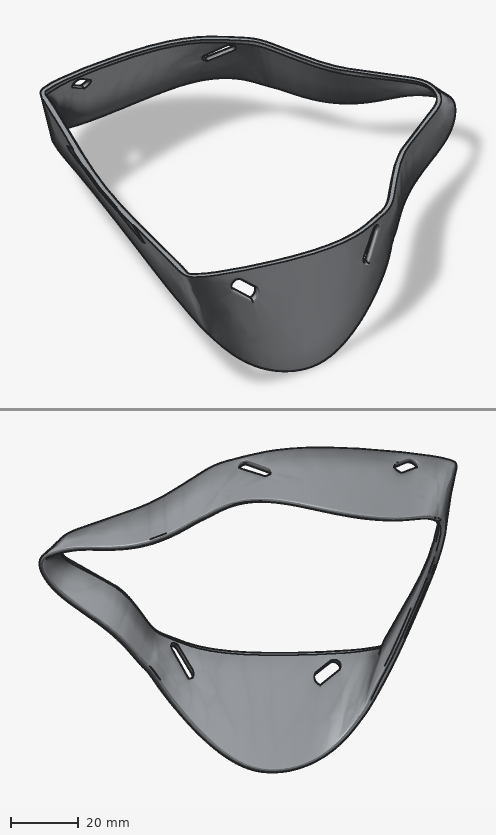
import cadquery as cq
import math


TOP_TILT = 9.85
CHIN_Y = -60.21
CHIN_TOP_Z = 21.27
TOP_SLOPE = math.tan(math.radians(TOP_TILT))

PAD_HALF_WIDTH = 24.4
PAD_DEPTH = 4.7
PAD_TOP_HALF_WIDTH = 17.5
APRON_RISE = 0.15
BROW_RISE = 0.3
BROW_HALF_WIDTH = 10.5
BROW_DEPTH = 1.2
PAD_REACH = 3.0

TOP_NOSE = [(0, 55.15), (3.6, 54.3), (8.1, 49.9), (13.9, 41.1), (20.0, 32.4), (27.1, 25.9)]
TOP_TEMPLE = [(35.5, 19.6), (38.5, 16.9)]
TOP_CHEEK = [(42.2, 10.7), (45.8, 2.0), (47.9, -8.9), (48.25, -19.8), (47.6, -32.0), (45.9, -45.8)]
TOP_JAW = [(44.1, -53.1), (43.0, -55.0), (40.2, -56.2)]
TOP_CHIN = [(34.0, -56.85), (27.0, -57.65), (13.0, -59.25), (0, CHIN_Y + BROW_RISE)]

LOW_NOSE = [
    (0, 60.88, -6.4),
    (5.3, 58.6, -7.0),
    (11.2, 52.1, -8.4),
    (15.6, 43.3, -10.2),
    (20.6, 34.6, -11.2),
    (28.6, 25.9, -10.9),
]
LOW_TEMPLE = [(35.0, 20.3, -10.1), (35.7, 19.6, -10.0)]
LOW_CHEEK = [
    (41.3, 15.0, -9.9),
    (49.6, 6.3, -12.3),
    (56.9, -6.7, -18.0),
    (60.0, -20.0, -21.27),
    (58.0, -35.0, -18.0),
    (53.6, -43.7, -12.2),
]
LOW_JAW = [(46.2, -49.3, -5.9), (45.3, -49.8, -5.2), (44.4, -50.3, -4.5)]
LOW_CHIN = [(40.3, -52.2, -1.3), (34.6, -54.2, 2.4), (17.5, -57.8, 10.4), (0, -59.3, 13.95)]

WALL = 1.8
CHIN_WALL = 2.25
LIP_SETBACK = 0.45
LIP_DEPTH = 1.15
LOW_RIM_ROUNDING = 0.7

NOSE_FLAT_TOP_Y = 54.95
NOSE_FLAT_END = (58.7, -3.5)

SLOT_ROUNDING = 0.6
REAR_SLOT = dict(corner=(3.8, -1.9), angle=43.5, length=10.9, width=4.4, side=1)
FRONT_SLOT = dict(corner=(-37.2, 6.0), angle=135.0, length=9.9, width=5.0, side=-1)
SLOT_END_SETBACK = 1.6
SLOT_END_BULGE = 0.6
SLOT_INSIDE_X = 35.0
SLOT_REACH = 30.0

MARGIN = 5.0
TOLERANCE = 1e-3


def top_z(y):
    return CHIN_TOP_Z - (y - CHIN_Y) * TOP_SLOPE


def chord_parameters(points):
    """Distance run along the outline's chords at each point."""
    lengths = [0.0]
    for start, end in zip(points, points[1:]):
        lengths.append(lengths[-1] + math.dist(start, end))
    return lengths


def smooth_edge(points):
    """A spline that crosses the symmetry plane squarely at both ends."""
    return cq.Edge.makeSpline(
        [cq.Vector(*point) for point in points],
        tangents=[cq.Vector(1, 0, 0), cq.Vector(-1, 0, 0)],
        parameters=chord_parameters(points),
        scale=False,
    )


def inset(points, walls):
    """Move the outline points horizontally inwards by the wall at each of them."""
    edge = smooth_edge(points)
    moved = []
    for (x, y, z), wall, parameter in zip(points, walls, chord_parameters(points)):
        along = edge.tangentAt(parameter, mode="parameter")
        run = math.hypot(along.x, along.y)
        moved.append((x + wall * along.y / run, y - wall * along.x / run, z))
    return moved


def inset_top(points, walls):
    return [(x, y, top_z(y)) for x, y, _ in inset(points, walls)]


def step_towards(start, end, distance):
    share = distance / math.dist(start, end)
    return tuple(a + (b - a) * share for a, b in zip(start, end))


def stretches(points, joints):
    """The outline's spline cut at the joints between the stretches."""
    edge = smooth_edge(points)
    parameters = chord_parameters(points)
    return [edge.trim(parameters[a], parameters[b]) for a, b in zip(joints, joints[1:])]


def half_band():
    """The +X half of the band, ruled between the outlines that run round its section."""
    top = TOP_NOSE + TOP_TEMPLE + TOP_CHEEK + TOP_JAW + TOP_CHIN
    top_outer = [(x, y, top_z(y)) for x, y in top]
    low_outer = LOW_NOSE + LOW_TEMPLE + LOW_CHEEK + LOW_JAW + LOW_CHIN
    temple = len(TOP_NOSE)
    jaw = temple + len(TOP_TEMPLE) + len(TOP_CHEEK)
    jaw_end = jaw + len(TOP_JAW) - 1
    last = len(top) - 1
    joints = [0, temple, temple + 1, jaw, jaw_end, last]

    low_walls = [WALL] * (jaw_end + 1) + [CHIN_WALL] * (last - jaw_end)
    top_walls = [WALL] * jaw_end + [CHIN_WALL] * (last - jaw_end + 1)
    low_inner = inset(low_outer, low_walls)
    wall_tops = inset_top(top_outer, top_walls)
    lip = [step_towards(a, b, LIP_DEPTH) for a, b in zip(wall_tops, low_inner)]
    top_inner = inset_top(top_outer, [wall - LIP_SETBACK for wall in top_walls])

    outlines = [top_outer, low_outer, low_inner, lip, top_inner]
    rails = [stretches(points, joints) for points in outlines]
    faces = []
    for rail, next_rail in zip(rails, rails[1:] + rails[:1]):
        faces += [cq.Face.makeRuledSurface(a, b) for a, b in zip(rail, next_rail)]
    for end in (0, last):
        corners = [cq.Vector(*points[end]) for points in outlines]
        faces.append(cq.Face.makeFromWires(cq.Wire.makePolygon(corners, close=True)))
    return cq.Workplane(cq.Solid.makeSolid(cq.Shell.makeShell(faces)))


def full_band():
    half = half_band()
    return half.union(half.mirror("YZ"), clean=False)


def is_low_rim(edge):
    """True for the edges that run along the lower rim, on the outside or the inside of the wall."""
    ends = (edge.startPoint(), edge.endPoint())
    on_symmetry_plane = all(abs(point.x) < TOLERANCE for point in ends)
    touches_top = any(point.z > top_z(point.y) - MARGIN for point in ends)
    crosses_wall = abs(ends[0].z - ends[1].z) < TOLERANCE
    return not (on_symmetry_plane or touches_top or crosses_wall)


def round_low_rim(band):
    edges = [edge for edge in band.val().Edges() if is_low_rim(edge)]
    return cq.Workplane(band.val().fillet(LOW_RIM_ROUNDING, edges))


def nose_flat_cutter():
    top_y, top = NOSE_FLAT_TOP_Y, top_z(NOSE_FLAT_TOP_Y)
    end_y, end = NOSE_FLAT_END
    run, fall = end_y - top_y, top - end
    return (
        cq.Workplane("YZ")
        .moveTo(top_y - run, top + fall)
        .lineTo(end_y + run, end - fall)
        .lineTo(end_y + run, top + fall)
        .close()
        .extrude(MARGIN, both=True)
    )


def tipped_chin(band, rise, right_side):
    """What a forward-tipped copy of the chin adds to the wall, within a symmetric outline."""
    pivot_z = CHIN_TOP_Z - PAD_DEPTH
    lift = math.degrees(math.atan(rise / PAD_DEPTH))
    tipped = band.rotate((0, CHIN_Y, pivot_z), (1, CHIN_Y, pivot_z), lift)
    window_plane = cq.Plane(
        origin=(0, CHIN_Y, CHIN_TOP_Z),
        xDir=(1, 0, 0),
        normal=(0, -1, TOP_SLOPE),
    )
    left_side = [(-x, z) for x, z in reversed(right_side)]
    window = cq.Workplane(window_plane).polyline(right_side + left_side).close().extrude(PAD_REACH, both=True)
    return tipped.intersect(window).cut(band)


def add_chin_pad(band, sharp_band):
    tip = (PAD_HALF_WIDTH, -PAD_DEPTH)
    top_corner = (PAD_TOP_HALF_WIDTH, 0)
    brow_corner = (BROW_HALF_WIDTH, -BROW_DEPTH)
    apron = tipped_chin(sharp_band, APRON_RISE, [tip, top_corner])
    brow = tipped_chin(sharp_band, BROW_RISE, [brow_corner, tip, top_corner])
    return band.union(apron, clean=False).union(brow, clean=False)


def slot_cutter(corner, angle, length, width, side):
    """A slot with one round end and one skewed, shallow end, drawn in YZ and run along +X."""
    turn = math.radians(angle)
    along = (math.cos(turn), math.sin(turn))
    across = (-side * along[1], side * along[0])

    def at(run, rise):
        return (
            corner[0] + run * along[0] + rise * across[0],
            corner[1] + run * along[1] + rise * across[1],
        )

    straight = length - width / 2
    return (
        cq.Workplane("YZ", origin=(SLOT_INSIDE_X, 0, 0))
        .moveTo(*at(0, 0))
        .lineTo(*at(straight, 0))
        .threePointArc(at(length, width / 2), at(straight, width))
        .lineTo(*at(SLOT_END_SETBACK, width))
        .threePointArc(at(-SLOT_END_BULGE, width / 2), at(0, 0))
        .close()
        .offset2D(-SLOT_ROUNDING)
        .extrude(SLOT_REACH)
    )


def slot_rims(band):
    """The edges where the slots break out of the outside of the wall."""
    rims = []
    for face in band.solids().vals()[0].Faces():
        in_slot = face.geomType() in ("PLANE", "CYLINDER") and abs(face.Center().x) > SLOT_INSIDE_X
        if in_slot:
            curved = [edge for edge in face.Edges() if edge.geomType() != "LINE"]
            rims.append(max(curved, key=lambda edge: abs(edge.Center().x)))
    return rims


def cut_slots(band):
    for slot in (REAR_SLOT, FRONT_SLOT):
        cutter = slot_cutter(**slot)
        band = band.cut(cutter).cut(cutter.mirror("YZ"))
    return cq.Workplane(band.solids().vals()[0].fillet(SLOT_ROUNDING, slot_rims(band)))


sharp_band = full_band()
band = round_low_rim(sharp_band)
band = cut_slots(band)
band = band.cut(nose_flat_cutter())
result = add_chin_pad(band, sharp_band)